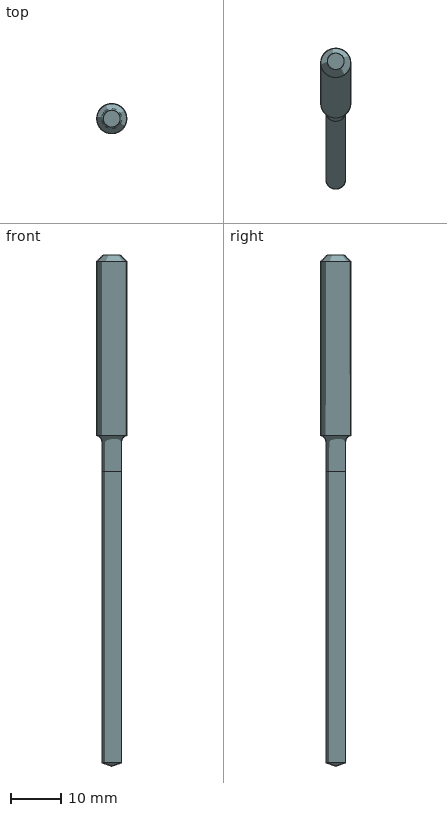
import cadquery as cq
import math

total_length = 102.0

shank_radius = 3.01
shank_bottom_z = 66.0
shank_chamfer = 1.3
neck_radius = 1.99
shoulder_height = 1.2

cutter_radius = neck_radius
cutter_top_z = 58.9
point_angle = 140.0

neck_top_z = shank_bottom_z - shoulder_height
shoulder_width = shank_radius - neck_radius
shoulder_radius = (shoulder_width**2 + shoulder_height**2) / (2 * shoulder_width)
shoulder_sweep = math.asin(shoulder_height / shoulder_radius)
point_height = cutter_radius / math.tan(math.radians(point_angle / 2))


def revolve_outline(outline):
    """Close a (radius, height) outline and revolve it about the Z axis."""
    return outline.close().revolve(360, (0, 0, 0), (0, 1, 0))


def make_shank():
    """Chamfered shank that narrows through a concave shoulder to the neck."""
    shoulder_middle = (
        neck_radius + shoulder_radius * (1 - math.cos(shoulder_sweep / 2)),
        neck_top_z + shoulder_radius * math.sin(shoulder_sweep / 2),
    )
    outline = (
        cq.Workplane("XZ")
        .moveTo(0, cutter_top_z)
        .lineTo(neck_radius, cutter_top_z)
        .lineTo(neck_radius, neck_top_z)
        .threePointArc(shoulder_middle, (shank_radius, shank_bottom_z))
        .lineTo(shank_radius, total_length - shank_chamfer)
        .lineTo(shank_radius - shank_chamfer, total_length)
        .lineTo(0, total_length)
    )
    return revolve_outline(outline)


def make_cutter():
    """Cylindrical cutter that ends in a conical point."""
    outline = (
        cq.Workplane("XZ")
        .lineTo(cutter_radius, point_height)
        .lineTo(cutter_radius, cutter_top_z)
        .lineTo(0, cutter_top_z)
    )
    return revolve_outline(outline)


shank = make_shank()
cutter = make_cutter()

result = cq.Compound.makeCompound([shank.val(), cutter.val()])